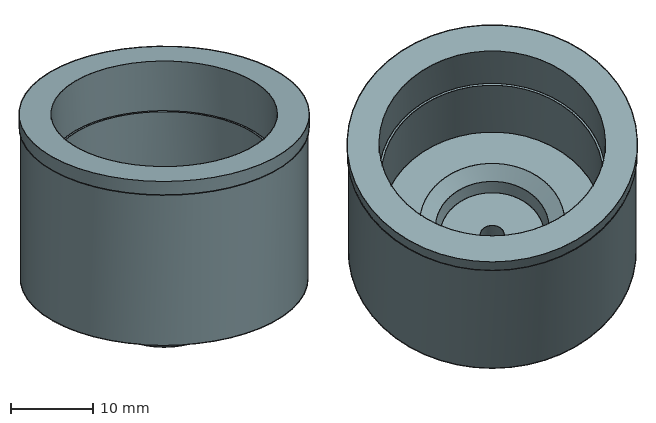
import cadquery as cq

total_height = 28.9
nose_height = 6.32
rim_height = 1.98
rim_bottom = total_height - rim_height

rim_radius = 17.65
body_radius = 17.5
rim_chamfer = rim_radius - body_radius
nose_base_radius = 13.5
nose_tip_radius = 6.0

upper_bore_radius = 13.75
upper_bore_depth = 6.8
lower_bore_radius = 13.5
bore_depth = 16.65
ledge_height = total_height - upper_bore_depth
floor_height = total_height - bore_depth

funnel_top_radius = 8.82
funnel_middle_radius = 6.92
funnel_bottom_radius = 6.35
wide_cone_depth = 1.1
steep_cone_depth = 1.6
funnel_middle_height = floor_height - wide_cone_depth
funnel_bottom_height = funnel_middle_height - steep_cone_depth

outlet_radius = 1.5

section = [
    (outlet_radius, 0),
    (nose_tip_radius, 0),
    (nose_base_radius, nose_height),
    (body_radius, nose_height),
    (body_radius, rim_bottom),
    (rim_radius, rim_bottom + rim_chamfer),
    (rim_radius, total_height),
    (upper_bore_radius, total_height),
    (upper_bore_radius, ledge_height),
    (lower_bore_radius, ledge_height),
    (lower_bore_radius, floor_height),
    (funnel_top_radius, floor_height),
    (funnel_middle_radius, funnel_middle_height),
    (funnel_bottom_radius, funnel_bottom_height),
    (outlet_radius, funnel_bottom_height),
]

result = cq.Workplane("YZ").polyline(section).close().revolve(360, (0, 0), (0, 1))